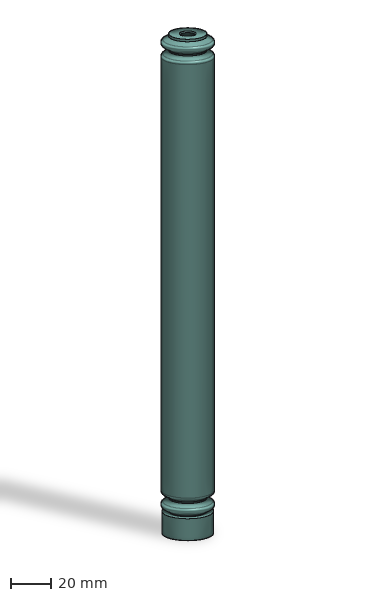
import cadquery as cq
import math

length = 261.7
body_radius = 27.0 / 2
bore_radius = 7.0 / 2
bore_mouth_radius = 8.5 / 2
bore_chamfer = bore_mouth_radius - bore_radius

crest_round = 1.8
flank_angle = math.radians(30)
groove_radius = 19.0 / 2
groove_floor = 0.8

top_disc_radius = groove_radius
top_disc_height = 1.3
foot_neck_radius = groove_radius
foot_neck_height = 0.3
foot_radius = 26.0 / 2
foot_height = 11.5

round_center_radius = body_radius - crest_round
tangent_radius = round_center_radius + crest_round * math.sin(flank_angle)
tangent_height = crest_round * math.cos(flank_angle)


def flank_height(radius):
    """Height from the crest level to the place where the flank reaches a radius."""
    return tangent_height + (tangent_radius - radius) * math.tan(flank_angle)


def add_ridge(profile, crest_z):
    """Continue the profile upward around a complete rounded ridge."""
    profile = profile.lineTo(tangent_radius, crest_z - tangent_height)
    return profile.threePointArc(
        (body_radius, crest_z),
        (tangent_radius, crest_z + tangent_height),
    )


groove_half_width = flank_height(groove_radius)
groove_width = 2 * groove_half_width + groove_floor

mid_angle = (math.pi / 2 - flank_angle) / 2
mid_radius = round_center_radius + crest_round * math.cos(mid_angle)
mid_height = crest_round * math.sin(mid_angle)

lower_crest = foot_height + foot_neck_height + flank_height(foot_neck_radius)
upper_crest = length - top_disc_height - flank_height(top_disc_radius)
body_bottom = lower_crest + groove_width
body_top = upper_crest - groove_width

profile = (
    cq.Workplane("XZ")
    .moveTo(bore_radius, 0)
    .lineTo(foot_radius, 0)
    .lineTo(foot_radius, foot_height)
    .lineTo(foot_neck_radius, foot_height)
    .lineTo(foot_neck_radius, foot_height + foot_neck_height)
)
profile = add_ridge(profile, lower_crest)

profile = (
    profile
    .lineTo(groove_radius, lower_crest + groove_half_width)
    .lineTo(groove_radius, body_bottom - groove_half_width)
    .lineTo(tangent_radius, body_bottom - tangent_height)
    .threePointArc((mid_radius, body_bottom - mid_height), (body_radius, body_bottom))
)

profile = (
    profile
    .lineTo(body_radius, body_top)
    .threePointArc((mid_radius, body_top + mid_height), (tangent_radius, body_top + tangent_height))
    .lineTo(groove_radius, body_top + groove_half_width)
    .lineTo(groove_radius, upper_crest - groove_half_width)
)
profile = add_ridge(profile, upper_crest)

profile = (
    profile
    .lineTo(top_disc_radius, length - top_disc_height)
    .lineTo(top_disc_radius, length)
    .lineTo(bore_mouth_radius, length)
    .lineTo(bore_radius, length - bore_chamfer)
    .close()
)

result = profile.revolve(360, (0, 0, 0), (0, 1, 0)).translate((0, 0, -length / 2))